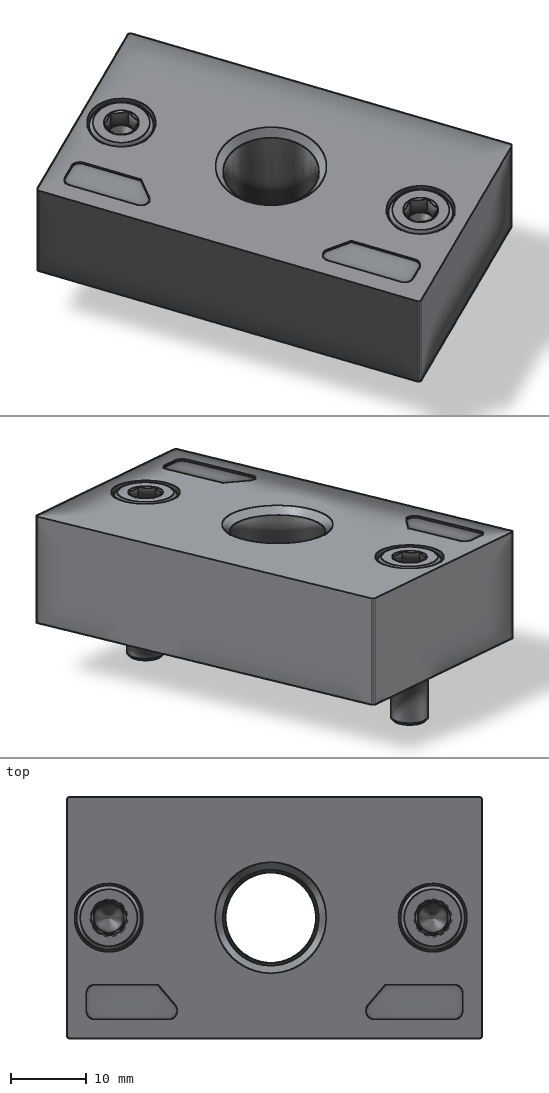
import cadquery as cq
import math

BLOCK_LENGTH = 55.0
BLOCK_WIDTH = 32.0
BLOCK_HEIGHT = 15.0
BLOCK_CORNER_RADIUS = 0.4

HOLE_PATTERN_X = -0.5

BORE_MOUTH_DIAMETER = 14.7
BORE_TOP_DIAMETER = 12.7
BORE_BOTTOM_DIAMETER = 11.95
BORE_MOUTH_DEPTH = (BORE_MOUTH_DIAMETER - BORE_TOP_DIAMETER) / 2

SCREW_SPACING = 42.9
SCREW_LENGTH = 23.0
SHANK_DIAMETER = 5.0
TIP_DIAMETER = 4.1
TIP_CHAMFER = (SHANK_DIAMETER - TIP_DIAMETER) / 2
HEAD_DIAMETER = 8.5
HEAD_HEIGHT = 5.0
HEAD_CHAMFER = 0.5
COUNTERBORE_DIAMETER = 9.1
SCREW_XS = [HOLE_PATTERN_X + side * SCREW_SPACING / 2 for side in (-1, 1)]

HEX_ACROSS_FLATS = 4.0
HEX_ACROSS_CORNERS = HEX_ACROSS_FLATS / math.cos(math.pi / 6)
HEX_DEPTH = 2.5
HEX_TURN = 30
SOCKET_CONE_HALF_ANGLE = 60

POCKET_OUTER_X = 24.9
POCKET_BACK_Y = -8.85
POCKET_FRONT_Y = -13.5
POCKET_SLANT_RUN = 3.9
POCKET_CORNER_RADIUS = 1.15
POCKET_DEPTH = 0.3
LEFT_POCKET_BACK_LENGTH = 9.45
RIGHT_POCKET_BACK_LENGTH = 10.25


def make_label_pocket(side, back_length):
    """Pocket tool on the left (side = -1) or right (side = 1) of the block."""
    outer_x = side * POCKET_OUTER_X
    back_inner_x = outer_x - side * back_length
    front_inner_x = back_inner_x - side * POCKET_SLANT_RUN
    pocket = (
        cq.Workplane("XY", origin=(0, 0, BLOCK_HEIGHT))
        .polyline([
            (outer_x, POCKET_BACK_Y),
            (outer_x, POCKET_FRONT_Y),
            (front_inner_x, POCKET_FRONT_Y),
            (back_inner_x, POCKET_BACK_Y),
        ])
        .close()
        .extrude(-POCKET_DEPTH)
    )
    front_corners = pocket.edges("|Z").edges("<Y")
    outer_back_corner = pocket.edges("|Z").edges(">Y").edges(">X" if side > 0 else "<X")
    return pocket.newObject(front_corners.vals() + outer_back_corner.vals()).fillet(POCKET_CORNER_RADIUS)


def make_bore():
    """Revolved tool for the central bore."""
    mouth_bottom_z = BLOCK_HEIGHT - BORE_MOUTH_DEPTH
    return (
        cq.Workplane("XZ")
        .polyline([
            (0, 0),
            (BORE_BOTTOM_DIAMETER / 2, 0),
            (BORE_TOP_DIAMETER / 2, mouth_bottom_z),
            (BORE_MOUTH_DIAMETER / 2, BLOCK_HEIGHT),
            (0, BLOCK_HEIGHT),
        ])
        .close()
        .revolve(360, (0, 0), (0, 1))
        .translate((HOLE_PATTERN_X, 0, 0))
    )


def make_block():
    block = (
        cq.Workplane("XY")
        .box(BLOCK_LENGTH, BLOCK_WIDTH, BLOCK_HEIGHT, centered=(True, True, False))
        .edges("|Z")
        .fillet(BLOCK_CORNER_RADIUS)
    )
    block = block.cut(make_bore())
    block = (
        block.faces(">Z")
        .workplane(origin=(0, 0, BLOCK_HEIGHT))
        .pushPoints([(x, 0) for x in SCREW_XS])
        .cboreHole(SHANK_DIAMETER, COUNTERBORE_DIAMETER, HEAD_HEIGHT)
    )
    block = block.cut(make_label_pocket(-1, LEFT_POCKET_BACK_LENGTH))
    block = block.cut(make_label_pocket(1, RIGHT_POCKET_BACK_LENGTH))
    return block


def make_cone(base_diameter, base_z):
    """Downward-pointing cone whose base lies at base_z."""
    radius = base_diameter / 2
    height = radius / math.tan(math.radians(SOCKET_CONE_HALF_ANGLE))
    return cq.Workplane(
        cq.Solid.makeCone(radius, 0, height, pnt=cq.Vector(0, 0, base_z), dir=cq.Vector(0, 0, -1))
    )


def make_screw(x):
    """Socket head screw on the vertical axis through (x, 0)."""
    shank = (
        cq.Workplane("XY", origin=(0, 0, BLOCK_HEIGHT))
        .circle(SHANK_DIAMETER / 2)
        .extrude(-SCREW_LENGTH)
        .faces("<Z")
        .chamfer(TIP_CHAMFER)
    )
    head = (
        cq.Workplane("XY", origin=(0, 0, BLOCK_HEIGHT - HEAD_HEIGHT))
        .circle(HEAD_DIAMETER / 2)
        .extrude(HEAD_HEIGHT)
        .faces(">Z")
        .chamfer(HEAD_CHAMFER)
    )
    hexagon = (
        cq.Workplane("XY", origin=(0, 0, BLOCK_HEIGHT))
        .transformed(rotate=(0, 0, HEX_TURN))
        .polygon(6, HEX_ACROSS_CORNERS)
        .extrude(-HEX_DEPTH)
    )
    lead_in = make_cone(HEX_ACROSS_CORNERS, BLOCK_HEIGHT)
    drill_cone = make_cone(HEX_ACROSS_FLATS, BLOCK_HEIGHT - HEX_DEPTH)
    screw = shank.union(head).cut(hexagon).cut(lead_in).cut(drill_cone)
    return screw.translate((x, 0, 0))


block = make_block()
screws = [make_screw(x) for x in SCREW_XS]

result = cq.Compound.makeCompound([block.val(), *[screw.val() for screw in screws]])